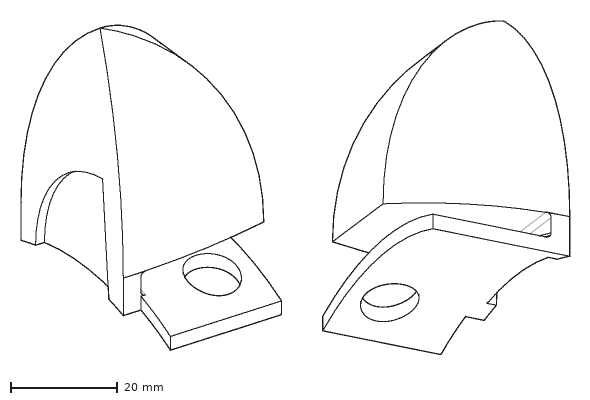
import cadquery as cq
import math

plate_length = 45.0
plate_thickness = 3.0
plate_back = 29.0
plate_arch_radius = 61.45
body_width = 34.95
body_depth = 34.0
body_height = 62.1
wall_thickness = 4.0

dome_base = 12.05
apex_x = 27.0

gap_fillet = 1.0

recess_depth = 2.0
recess_left = 5.0
recess_radius = 25.0
recess_base = 5.15
recess_top_right = 27.9
recess_bottom_right = 30.0

hole_diameter = 11.0
hole_y = 20.0

arch_x = body_width / 2
arch_center_z = -math.sqrt(plate_arch_radius**2 - (plate_length - arch_x)**2)
dome_rise = body_height - dome_base


def arch_z(x):
    """Height of the plate underside at x."""
    return arch_center_z + math.sqrt(plate_arch_radius**2 - (x - arch_x)**2)


def rise_radius(run):
    """Radius of an arc that starts vertical and moves sideways by run over the dome rise."""
    return (run**2 + dome_rise**2) / (2 * run)


def extrude_back(profile, start, end):
    """Extrude an XZ profile from y = start to y = end."""
    return profile.extrude(start - end).translate((0, start, 0))


def above_arch(left, right, offset, top):
    """XZ profile from the plate underside, raised by offset, up to a level top."""
    return (
        cq.Workplane("XZ")
        .moveTo(left, arch_z(left) + offset)
        .threePointArc((arch_x, arch_z(arch_x) + offset), (right, arch_z(right) + offset))
        .lineTo(right, top)
        .lineTo(left, top)
        .close()
    )


def make_dome():
    """Intersection of two spheres and a cylinder, each vertical at the dome base."""
    left_radius = rise_radius(apex_x)
    right_radius = rise_radius(body_width - apex_x)
    back_radius = rise_radius(body_depth)
    left_sphere = cq.Workplane("XY").sphere(left_radius).translate((left_radius, 0, dome_base))
    right_sphere = cq.Workplane("XY").sphere(right_radius).translate(
        (body_width - right_radius, 0, dome_base)
    )
    back_cylinder = (
        cq.Workplane("YZ")
        .center(body_depth - back_radius, dome_base)
        .circle(back_radius)
        .extrude(body_width)
    )
    envelope = cq.Workplane("XY").box(body_width, body_depth, dome_rise, centered=False)
    envelope = envelope.translate((0, 0, dome_base))
    return envelope.intersect(back_cylinder).intersect(left_sphere).intersect(right_sphere)


def make_base():
    """Front wall with fillets running into the plate and the dome underside."""
    base = extrude_back(above_arch(0, body_width, 0, dome_base), 0, wall_thickness + gap_fillet)
    gap_profile = above_arch(-gap_fillet, body_width + gap_fillet, plate_thickness, dome_base)
    gap = extrude_back(gap_profile, wall_thickness, body_depth)
    gap = gap.faces("<Y").edges("not |Z").fillet(gap_fillet)
    return base.cut(gap)


def make_plate():
    """Arched plate with one round hole."""
    profile = (
        cq.Workplane("XZ")
        .moveTo(0, arch_z(0))
        .threePointArc((arch_x, arch_z(arch_x)), (plate_length, 0))
        .lineTo(plate_length, plate_thickness)
        .threePointArc((arch_x, arch_z(arch_x) + plate_thickness), (0, arch_z(0) + plate_thickness))
        .close()
    )
    hole = (
        cq.Workplane("XY")
        .center(body_width, hole_y)
        .circle(hole_diameter / 2)
        .extrude(dome_base)
    )
    return extrude_back(profile, wall_thickness, plate_back).cut(hole)


def make_recess():
    """Quarter-round recess, open at the bottom, with a leaning right side."""
    center_x = recess_left + recess_radius
    top_z = recess_base + math.sqrt(recess_radius**2 - (center_x - recess_top_right)**2)
    arc_middle = (
        center_x - recess_radius * math.cos(math.pi / 4),
        recess_base + recess_radius * math.sin(math.pi / 4),
    )
    profile = (
        cq.Workplane("XZ")
        .moveTo(recess_left, 0)
        .lineTo(recess_left, recess_base)
        .threePointArc(arc_middle, (recess_top_right, top_z))
        .lineTo(recess_bottom_right, recess_base)
        .lineTo(recess_bottom_right, 0)
        .close()
    )
    return extrude_back(profile, 0, recess_depth)


result = make_dome().union(make_base()).union(make_plate()).cut(make_recess())